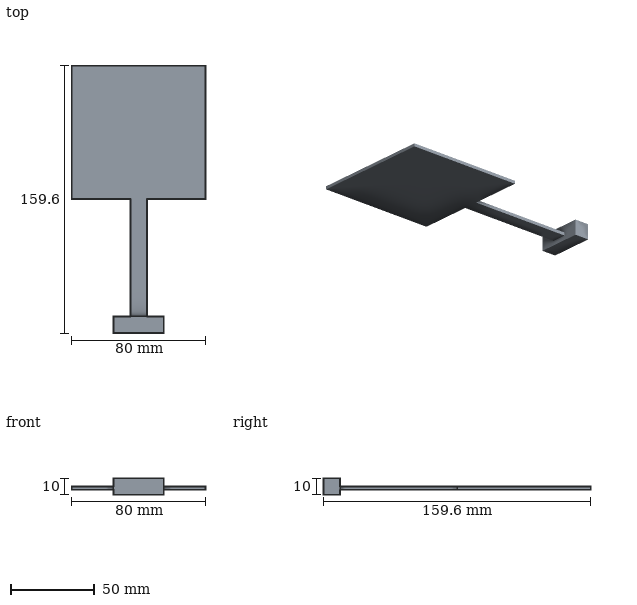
import cadquery as cq

overall_length = 159.57
plate_width = 80.0
sheet_thickness = 2.0
sheet_bottom = 3.0
strip_width = 10.0
strip_length = 70.0
block_width = 30.0
block_depth = 10.0
block_height = 10.0

strip_start = block_depth
plate_start = strip_start + strip_length
plate_length = overall_length - plate_start


def box_along_y(width, start, length, bottom, height):
    """Box centred on X = 0, running from start along +Y and up from bottom."""
    return (
        cq.Workplane("XY")
        .box(width, length, height, centered=(True, False, False))
        .translate((0, start, bottom))
    )


end_block = box_along_y(block_width, 0, block_depth, 0, block_height)
strip = box_along_y(strip_width, strip_start, strip_length, sheet_bottom, sheet_thickness)
plate = box_along_y(plate_width, plate_start, plate_length, sheet_bottom, sheet_thickness)

result = end_block.union(strip).union(plate)